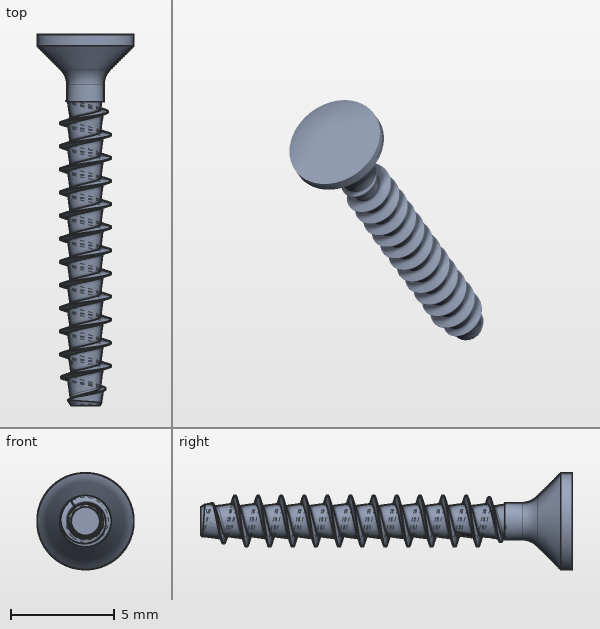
import cadquery as cq
import math


length = 18.0

head_radius = 4.7 / 2
rim_height = 0.55
cone_angle = math.radians(45)
neck_fillet = 1.0
shank_radius = 0.9
shank_end = 3.27

pitch = 1.12
core_radius = 0.742
ridge_radius = 0.87
ramp_end_radius = 0.732
ramp_gap = 0.14
buried_radius = 0.6
core_overrun = 3.0

crest_radius = 1.25
crest_width = 0.04
thread_height = 0.55
flank_slope = 0.27
crest_depth = 17.18
entry_depth = 4.3
entry_slope = 0.27
exit_depth = 16.45
exit_slope = 0.36
thread_overrun = 0.2

tip_radius = 0.69
tip_slope = 0.6
shank_overlap = 0.05


def make_head_and_shank():
    """Rim, countersink, neck fillet and plain shank as one revolved body."""
    fillet_top_radius = shank_radius + neck_fillet * (1 - math.cos(cone_angle))
    cone_height = (head_radius - fillet_top_radius) / math.tan(cone_angle)
    fillet_top = rim_height + cone_height
    fillet_bottom = fillet_top + neck_fillet * math.sin(cone_angle)
    half_angle = cone_angle / 2
    fillet_mid_radius = shank_radius + neck_fillet * (1 - math.cos(half_angle))
    fillet_mid = fillet_bottom - neck_fillet * math.sin(half_angle)
    return (
        cq.Workplane("XZ")
        .lineTo(head_radius, 0)
        .lineTo(head_radius, -rim_height)
        .lineTo(fillet_top_radius, -fillet_top)
        .threePointArc((fillet_mid_radius, -fillet_mid), (shank_radius, -fillet_bottom))
        .lineTo(shank_radius, -shank_end)
        .lineTo(0, -shank_end)
        .close()
        .revolve(360, (0, 0, 0), (0, 1, 0))
    )


def make_helix_sweep(points, start_depth, end_depth, spine_radius, radial_slope=0.0):
    """Sweep an (r, z) profile up a helix whose radius may grow by radial_slope per length."""
    height = start_depth - end_depth
    if radial_slope == 0:
        path = cq.Wire.makeHelix(pitch, height, spine_radius)
    else:
        slant = math.atan(radial_slope)
        stretch = 1 / math.cos(slant)
        path = cq.Wire.makeHelix(
            pitch * stretch, height * stretch, spine_radius, angle=math.degrees(slant)
        )
    swept = cq.Workplane("XZ").polyline(points).close().sweep(cq.Workplane(path), isFrenet=True)
    start_angle = 360 * (crest_depth - start_depth) / pitch
    return swept.rotate((0, 0, 0), (0, 0, 1), start_angle).translate((0, 0, -start_depth))


def make_core():
    """Cylinder with the helical slope added around it."""
    start_depth = length + core_overrun
    end_depth = shank_end - core_overrun
    cylinder = (
        cq.Workplane("XY")
        .workplane(offset=-start_depth - core_overrun)
        .circle(core_radius)
        .extrude(start_depth - end_depth + 2 * core_overrun)
    )
    slope_profile = [
        (buried_radius, 0),
        (ridge_radius, 0),
        (ramp_end_radius, ramp_gap - pitch),
        (buried_radius, ramp_gap - pitch),
    ]
    return cylinder.union(make_helix_sweep(slope_profile, start_depth, end_depth, core_radius))


def make_thread(start_depth, end_depth, start_radius, radial_slope=0.0):
    """One stretch of thread from start_depth up to end_depth."""
    root_radius = start_radius - thread_height
    half_crest = crest_width / 2
    half_root = half_crest + flank_slope * thread_height
    profile = [
        (root_radius, half_root),
        (start_radius, half_crest),
        (start_radius, -half_crest),
        (root_radius, -half_root),
    ]
    return make_helix_sweep(profile, start_depth, end_depth, start_radius, radial_slope)


def make_shaft_limit():
    """Revolved body that trims both ends of the shaft and bevels the tip."""
    top = shank_overlap - shank_end
    taper_length = (head_radius - tip_radius) / tip_slope
    return (
        cq.Workplane("XZ")
        .moveTo(0, top)
        .lineTo(head_radius, top)
        .lineTo(head_radius, taper_length - length)
        .lineTo(tip_radius, -length)
        .lineTo(0, -length)
        .close()
        .revolve(360, (0, 0, 0), (0, 1, 0))
    )


def make_threaded_shaft():
    exit_end = length + thread_overrun
    exit_radius = crest_radius - exit_slope * (exit_end - exit_depth)
    entry_end = shank_end - thread_overrun
    shaft = make_core()
    shaft = shaft.union(make_thread(exit_depth, entry_depth, crest_radius))
    shaft = shaft.union(make_thread(exit_end, exit_depth, exit_radius, exit_slope))
    shaft = shaft.union(make_thread(entry_depth, entry_end, crest_radius, -entry_slope))
    return shaft.intersect(make_shaft_limit())


screw = make_head_and_shank().union(make_threaded_shaft())
result = screw.rotate((0, 0, 0), (1, 0, 0), -90)